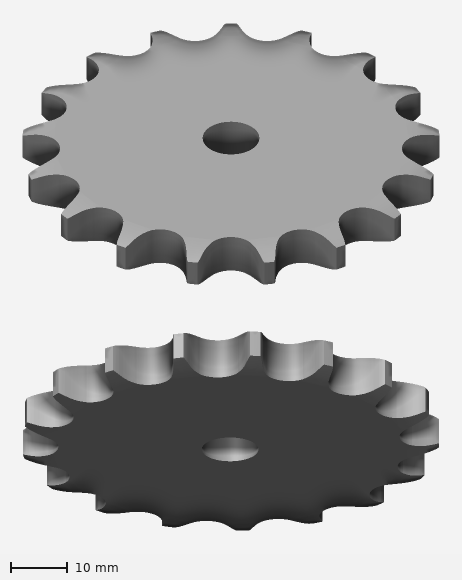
import cadquery as cq
import math

TEETH = 17
CHAIN_PITCH = 12.7
THICKNESS = 7.2
BORE_DIAMETER = 10.0
TIP_RADIUS = 36.8

SEAT_RADIUS = 4.3
SEAT_HALF_ANGLE = 51.5
WORKING_RADIUS = 11.15
WORKING_ANGLE = 14.7
STRAIGHT_LENGTH = 1.0
TOPPING_RADIUS = 7.05
TOPPING_ANGLE = 30.0

RELIEF_RADIUS = 31.1
TIP_THICKNESS = 4.7

PITCH_RADIUS = CHAIN_PITCH / 2 / math.sin(math.pi / TEETH)
TOOTH_ANGLE = 360.0 / TEETH
HALF_THICKNESS = THICKNESS / 2


def rounded_disc():
    """Revolved blank whose rim curves in from both flat faces to a cylindrical tip."""
    half_tip = TIP_THICKNESS / 2
    upper_half = (
        cq.Workplane("XZ")
        .lineTo(0, HALF_THICKNESS)
        .lineTo(RELIEF_RADIUS, HALF_THICKNESS)
        .tangentArcPoint((TIP_RADIUS, half_tip), relative=False)
        .lineTo(TIP_RADIUS, 0)
        .close()
        .revolve(360, (0, 0, 0), (0, 1, 0))
    )
    return upper_half.union(upper_half.mirror("XY"), clean=True)


def polar_offset(origin, distance, degrees):
    """Point at a distance from origin, with the angle measured from -Y towards +X."""
    angle = math.radians(degrees)
    return (origin[0] + distance * math.sin(angle), origin[1] - distance * math.cos(angle))


def tooth_gap():
    """Cutter for the gap centred on +Y, one half profile mirrored about the Y axis.

    Each arc starts where the previous piece ends and is tangent to it.
    """
    working_end_angle = SEAT_HALF_ANGLE + WORKING_ANGLE
    topping_end_angle = working_end_angle - TOPPING_ANGLE

    seat_centre = (0, PITCH_RADIUS)
    seat_start = polar_offset(seat_centre, SEAT_RADIUS, 0)
    seat_middle = polar_offset(seat_centre, SEAT_RADIUS, SEAT_HALF_ANGLE / 2)
    seat_end = polar_offset(seat_centre, SEAT_RADIUS, SEAT_HALF_ANGLE)

    working_centre = polar_offset(seat_end, -WORKING_RADIUS, SEAT_HALF_ANGLE)
    working_end = polar_offset(working_centre, WORKING_RADIUS, working_end_angle)

    straight_end = polar_offset(working_end, STRAIGHT_LENGTH, working_end_angle + 90)

    topping_centre = polar_offset(straight_end, TOPPING_RADIUS, working_end_angle)
    topping_end = polar_offset(topping_centre, -TOPPING_RADIUS, topping_end_angle)

    return (
        cq.Workplane("XY")
        .moveTo(*seat_start)
        .threePointArc(seat_middle, seat_end)
        .tangentArcPoint(working_end, relative=False)
        .lineTo(*straight_end)
        .tangentArcPoint(topping_end, relative=False)
        .lineTo(0, topping_end[1])
        .mirrorY()
        .extrude(HALF_THICKNESS, both=True)
    )


sprocket = rounded_disc()
gap = tooth_gap()
for index in range(TEETH):
    sprocket = sprocket.cut(gap.rotate((0, 0, 0), (0, 0, 1), index * TOOTH_ANGLE))

bore = cq.Workplane("XY").circle(BORE_DIAMETER / 2).extrude(HALF_THICKNESS, both=True)
result = sprocket.cut(bore)